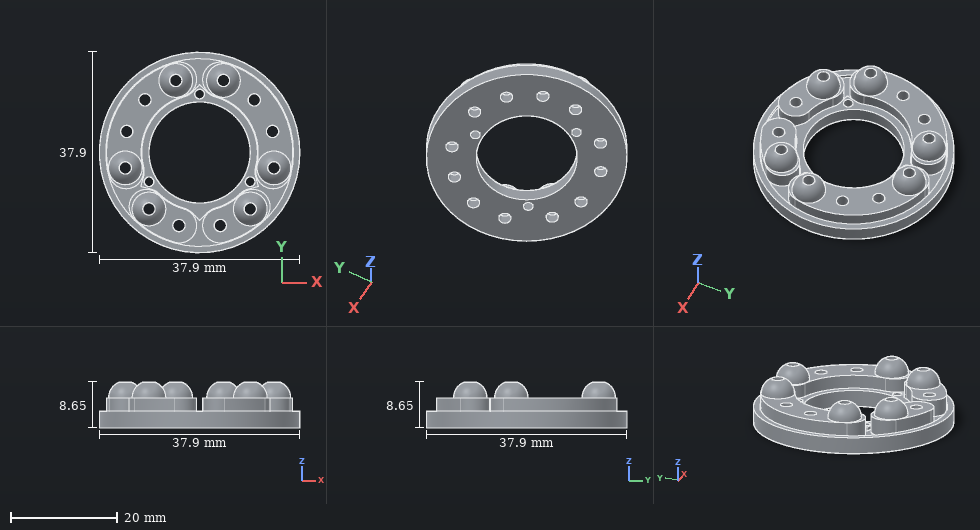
import cadquery as cq
import math

BASE_DIAMETER = 37.85
BORE_DIAMETER = 19.05
BASE_HEIGHT = 3.18
SCREW_HOLE_DIAMETER = 1.78
SCREW_CIRCLE_RADIUS = 11.0
SCREW_ANGLES = [90, 210, 330]

CHANNEL_DIAMETER = 35.43
CHANNEL_DEPTH = 0.75
FLOOR_Z = BASE_HEIGHT - CHANNEL_DEPTH

PAD_CIRCLE_RADIUS = 14.3
PAD_WIDTH = 6.5
END_ANGLE = 15.5
GAP_ANGLES = [90, 210, 270, 330]
PIN_HOLE_DIAMETER = 2.27
DOME_RADIUS = 3.18
OVERALL_HEIGHT = 8.65
PAD_TOP_Z = OVERALL_HEIGHT - math.sqrt(DOME_RADIUS**2 - (PIN_HOLE_DIAMETER / 2) ** 2)

LONG_PAD_HOLE_STEP = 27.8
LONG_PAD_MIDDLES = [30, 150]
SHORT_PAD_DOME_ANGLES = [228.1, 311.9]
SHORT_PAD_PLAIN_ANGLES = [254.2, 285.8]
SHORT_PAD_MIDDLES = [240, 300]

LONG_SECTOR = 120
SHORT_SECTOR = 60
LONG_PAD_HALF_SPAN = LONG_SECTOR / 2 - END_ANGLE
SHORT_PAD_HALF_SPAN = SHORT_SECTOR / 2 - END_ANGLE

CHANNEL_HALF_WIDTH = CHANNEL_DIAMETER / 2 - PAD_CIRCLE_RADIUS
LAND_RADIUS = PAD_CIRCLE_RADIUS - CHANNEL_HALF_WIDTH


def polar(radius, angle):
    """Point at a radius and an angle in degrees."""
    return (radius * math.cos(math.radians(angle)), radius * math.sin(math.radians(angle)))


def cylinder(radius, bottom, top, centre=(0, 0)):
    return cq.Workplane("XY", origin=(*centre, bottom)).circle(radius).extrude(top - bottom)


def land_point():
    """Right-angled point of the land, lying along +X, with hollow flanks that follow two pad ends."""
    end_x, end_y = polar(PAD_CIRCLE_RADIUS, END_ANGLE)
    reach = CHANNEL_HALF_WIDTH * math.sqrt(0.5)
    tangent_x, tangent_y = end_x - reach, end_y - reach
    foot_x, foot_y = polar(LAND_RADIUS, END_ANGLE)
    point = (
        cq.Workplane("XY", origin=(0, 0, FLOOR_Z))
        .polyline([
            (0, 0),
            (foot_x, -foot_y),
            (tangent_x, -tangent_y),
            (tangent_x + tangent_y, 0),
            (tangent_x, tangent_y),
            (foot_x, foot_y),
        ])
        .close()
        .extrude(CHANNEL_DEPTH)
    )
    for side in (-1, 1):
        point = point.cut(cylinder(CHANNEL_HALF_WIDTH, FLOOR_Z, BASE_HEIGHT, (end_x, side * end_y)))
    return point


def make_channel():
    """Space of the channel: a disc less the land left standing round the bore."""
    land = cylinder(LAND_RADIUS, FLOOR_Z, BASE_HEIGHT)
    for angle in GAP_ANGLES:
        land = land.union(land_point().rotate((0, 0, 0), (0, 0, 1), angle))
    return cylinder(CHANNEL_DIAMETER / 2, FLOOR_Z, BASE_HEIGHT).cut(land)


def make_base(pin_angles):
    base = cylinder(BASE_DIAMETER / 2, 0, BASE_HEIGHT).cut(make_channel())
    base = base.cut(cylinder(BORE_DIAMETER / 2, 0, BASE_HEIGHT))
    for angle in SCREW_ANGLES:
        place = polar(SCREW_CIRCLE_RADIUS, angle)
        base = base.cut(cylinder(SCREW_HOLE_DIAMETER / 2, 0, BASE_HEIGHT, place))
    for angle in pin_angles:
        place = polar(PAD_CIRCLE_RADIUS, angle)
        base = base.cut(cylinder(PIN_HOLE_DIAMETER / 2, 0, BASE_HEIGHT, place))
    return base


def make_pad(middle, half_span, dome_angles, plain_angles):
    """Curved slot-shaped pad with a drilled dome or a plain hole at each given angle."""
    inner = PAD_CIRCLE_RADIUS - PAD_WIDTH / 2
    outer = PAD_CIRCLE_RADIUS + PAD_WIDTH / 2
    start = middle - half_span
    end = middle + half_span
    start_x, start_y = polar(PAD_CIRCLE_RADIUS, start)
    start_dx, start_dy = polar(PAD_WIDTH / 2, start - 90)
    end_x, end_y = polar(PAD_CIRCLE_RADIUS, end)
    end_dx, end_dy = polar(PAD_WIDTH / 2, end + 90)
    pad = (
        cq.Workplane("XY", origin=(0, 0, FLOOR_Z))
        .moveTo(*polar(outer, start))
        .threePointArc(polar(outer, middle), polar(outer, end))
        .threePointArc((end_x + end_dx, end_y + end_dy), polar(inner, end))
        .threePointArc(polar(inner, middle), polar(inner, start))
        .threePointArc((start_x + start_dx, start_y + start_dy), polar(outer, start))
        .close()
        .extrude(PAD_TOP_Z - FLOOR_Z)
    )
    for angle in dome_angles:
        pad = pad.union(make_dome(polar(PAD_CIRCLE_RADIUS, angle)))
    for angle in dome_angles + plain_angles:
        place = polar(PAD_CIRCLE_RADIUS, angle)
        pad = pad.cut(cylinder(PIN_HOLE_DIAMETER / 2, FLOOR_Z, PAD_TOP_Z + DOME_RADIUS, place))
    return pad


def make_dome(centre):
    """Hemisphere standing on the pad top."""
    ball = cq.Workplane("XY", origin=(*centre, PAD_TOP_Z)).sphere(DOME_RADIUS)
    return ball.intersect(cylinder(2 * DOME_RADIUS, PAD_TOP_Z, PAD_TOP_Z + DOME_RADIUS, centre))


pads = []
pin_angles = []

for middle in LONG_PAD_MIDDLES:
    domes = [middle + steps * LONG_PAD_HOLE_STEP for steps in (-1.5, 1.5)]
    plains = [middle + steps * LONG_PAD_HOLE_STEP for steps in (-0.5, 0.5)]
    pads.append(make_pad(middle, LONG_PAD_HALF_SPAN, domes, plains))
    pin_angles += domes + plains

for middle, dome, plain in zip(SHORT_PAD_MIDDLES, SHORT_PAD_DOME_ANGLES, SHORT_PAD_PLAIN_ANGLES):
    pads.append(make_pad(middle, SHORT_PAD_HALF_SPAN, [dome], [plain]))
    pin_angles += [dome, plain]

base = make_base(pin_angles)

result = cq.Compound.makeCompound([base.val(), *[pad.val() for pad in pads]])